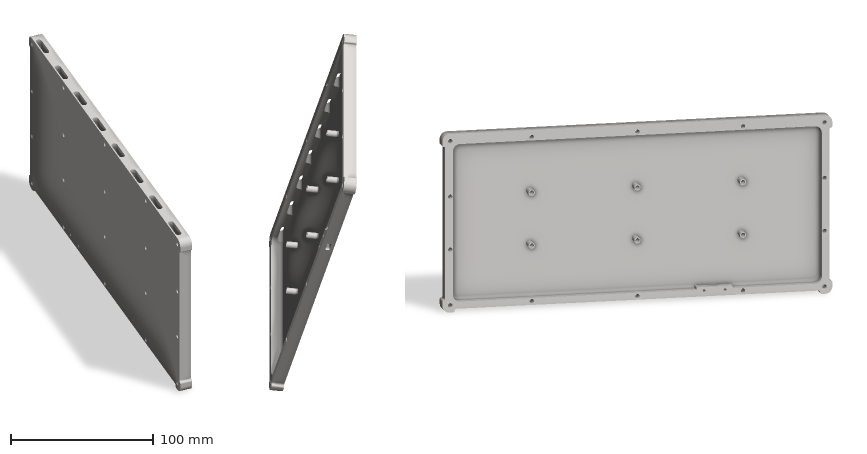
import cadquery as cq
import math

LENGTH = 281.0
DEPTH = 9.0
HEIGHT = 129.0
FRONT = -DEPTH / 2
TOP = HEIGHT / 2

SIDE_STEP = 2.0
BOTTOM_STEP = 2.5
LOBE_LENGTH = 10.0
LOBE_RADIUS = 5.0

HOLLOW_LENGTH = 265.8
HOLLOW_HEIGHT = 113.8
HOLLOW_CORNER_RADIUS = 5.0
HOLLOW_RIM_RADIUS = 2.2
PLATE = 0.95

SCREW_DIAMETER = 3.0
POST_DIAMETER = 4.5
OUTER_COLUMN = 135.0
INNER_COLUMN = 76.2
OUTER_ROW = 59.3
INNER_ROW = 19.0
INNER_COLUMNS = (-INNER_COLUMN, 0, INNER_COLUMN)
INNER_ROWS = (-INNER_ROW, INNER_ROW)
SCREW_COLUMNS = (-OUTER_COLUMN, *INNER_COLUMNS, OUTER_COLUMN)
SCREW_ROWS = (-OUTER_ROW, *INNER_ROWS, OUTER_ROW)

SLOT_COUNT = 8
SLOT_SPAN = 245.0
SLOT_LENGTH = 18.0
SLOT_WIDTH = 4.2
SLOT_DEPTH = 10.0

CONNECTOR_X = -55.5
BLOCK_LENGTH = 25.9
BLOCK_HEIGHT = 1.7
WINDOW_LENGTH = 8.1
WINDOW_WIDTH = 3.0
WINDOW_FROM_FRONT = 2.5
SMALL_HOLE_DIAMETER = 2.0
SMALL_HOLE_SPACING = 15.2
SMALL_HOLE_Z = -58.0

BODY_RIGHT = LENGTH / 2 - SIDE_STEP
BODY_BOTTOM = -TOP + BOTTOM_STEP

HOLLOW_BOTTOM = -HOLLOW_HEIGHT / 2
BOTTOM_WALL = HOLLOW_BOTTOM - BODY_BOTTOM


def block(length, depth, height, x, y_front, z):
    """Box centred on x and z that starts at y_front and runs towards +Y."""
    return cq.Workplane("XY").box(length, depth, height).translate((x, y_front + depth / 2, z))


def edge_recess(edge_length, step):
    """Recess along an edge facing +Z, its floor at z = 0, leaving a lobe at both ends of the edge.

    Each end is an S-curve: a concave quarter round at the floor, then the convex tip of the lobe.
    """
    bend = step / 2
    diagonal = bend * math.sqrt(0.5)
    floor_end = edge_length / 2 - LOBE_LENGTH
    bend_end = floor_end + bend
    mouth_end = floor_end + step
    concave_middle = (floor_end + diagonal, bend - diagonal)
    convex_middle = (mouth_end - diagonal, bend + diagonal)
    return (
        cq.Workplane("XZ")
        .moveTo(0, 0)
        .lineTo(floor_end, 0)
        .threePointArc(concave_middle, (bend_end, bend))
        .threePointArc(convex_middle, (mouth_end, step))
        .lineTo(0, step)
        .close()
        .extrude(DEPTH / 2, both=True)
        .mirror("YZ", union=True)
    )


def turned(shape, degrees):
    """Shape rotated about the Y axis through the origin."""
    return shape.rotate((0, 0, 0), (0, 1, 0), degrees)


def lobed_body():
    body = block(LENGTH, DEPTH, HEIGHT, 0, FRONT, 0).edges("|Y").fillet(LOBE_RADIUS)
    side_recess = edge_recess(HEIGHT, SIDE_STEP)
    bottom_recess = edge_recess(LENGTH, BOTTOM_STEP)
    body = body.cut(turned(side_recess, 90).translate((BODY_RIGHT, 0, 0)))
    body = body.cut(turned(side_recess, -90).translate((-BODY_RIGHT, 0, 0)))
    return body.cut(turned(bottom_recess, 180).translate((0, 0, BODY_BOTTOM)))


def hollow():
    """Open-backed hollow with rounded upright corners and a rounded rim around its floor."""
    return (
        block(HOLLOW_LENGTH, DEPTH - PLATE, HOLLOW_HEIGHT, 0, FRONT + PLATE, 0)
        .edges("|Y")
        .fillet(HOLLOW_CORNER_RADIUS)
        .faces("<Y")
        .edges()
        .fillet(HOLLOW_RIM_RADIUS)
    )


def connector_block():
    """Solid block against the bottom wall, as deep as the hollow."""
    return block(BLOCK_LENGTH, DEPTH, BOTTOM_WALL + BLOCK_HEIGHT, CONNECTOR_X, FRONT,
                 HOLLOW_BOTTOM + (BLOCK_HEIGHT - BOTTOM_WALL) / 2)


def connector_window():
    """Opening straight up through the bottom wall and the block."""
    return block(WINDOW_LENGTH, WINDOW_WIDTH, 2 * (BOTTOM_WALL + BLOCK_HEIGHT), CONNECTOR_X,
                 FRONT + WINDOW_FROM_FRONT, HOLLOW_BOTTOM)


def vent_slots():
    middle_y = FRONT + PLATE + SLOT_WIDTH / 2
    pitch = SLOT_SPAN / (SLOT_COUNT - 1)
    centers = [(index * pitch - SLOT_SPAN / 2, middle_y) for index in range(SLOT_COUNT)]
    return (
        cq.Workplane("XY", origin=(0, 0, TOP))
        .pushPoints(centers)
        .slot2D(SLOT_LENGTH, SLOT_WIDTH)
        .extrude(-SLOT_DEPTH)
    )


def cylinders(points, diameter):
    """Cylinders along Y at the given (x, z) points, as long as the tray is deep."""
    return cq.Workplane("XZ").pushPoints(points).circle(diameter / 2).extrude(DEPTH / 2, both=True)


screw_points = [(x, z) for x in SCREW_COLUMNS for z in SCREW_ROWS]
post_points = [(x, z) for x in INNER_COLUMNS for z in INNER_ROWS]
small_points = [(CONNECTOR_X + side * SMALL_HOLE_SPACING / 2, SMALL_HOLE_Z) for side in (-1, 1)]

result = (
    lobed_body()
    .cut(hollow())
    .union(connector_block())
    .union(cylinders(post_points, POST_DIAMETER))
    .cut(connector_window())
    .cut(vent_slots())
    .cut(cylinders(screw_points, SCREW_DIAMETER))
    .cut(cylinders(small_points, SMALL_HOLE_DIAMETER))
)